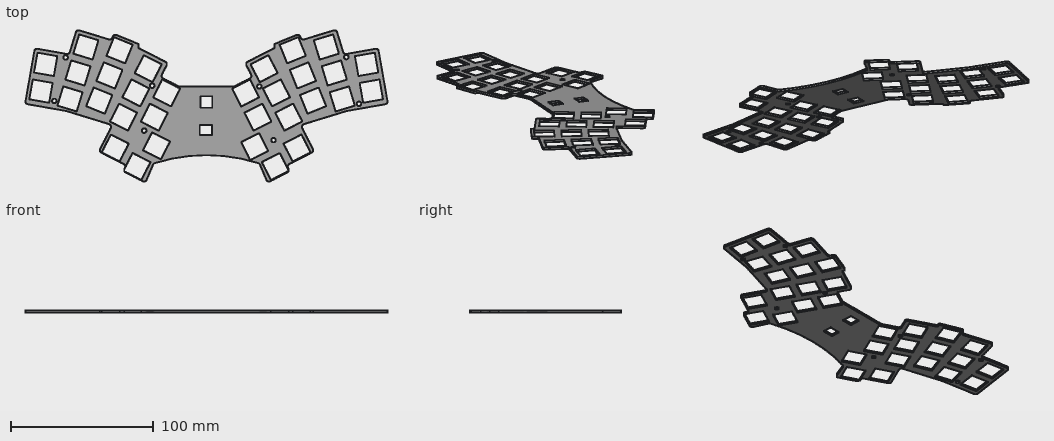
import cadquery as cq
import math

THICKNESS = 1.6
CUTOUT = 14.0
SWITCH_SHIFT = -0.3
PITCH = 19.0
CORNER_RADIUS = 2.0
STEP_RADIUS = 1.0
SCREW_DIAMETER = 3.0

BRIDGE_TOP = 13.5
BRIDGE_BOTTOM = -34.8
BRIDGE_END = (37.0, -40.5)

PINKY = (112.5, 29.0, 10, 2)
RING = (84.2, 41.0, 17, 3)
MIDDLE = (60.6, 38.8, 22, 3)
INDEX = (40.5, 26.0, 27, 3)
INNER = (27.7, 9.0, 27, 2)
THUMB_OUTER = (63.7, -29.7, 27, 1)
THUMB_LOW = (48.5, -42.6, 27, 1)
COLUMNS = [PINKY, RING, MIDDLE, INDEX, INNER, THUMB_OUTER, THUMB_LOW]

INNER_THUMBS = [(-35.0, -28.2, -27), (33.8, -28.7, 27)]

STEP_EDGE = (MIDDLE, "left", 4.0)

RIM_EDGES = [
    (INNER, "top", 0.9),
    (INDEX, "left", 3.3),
    (INDEX, "top", 2.8),
    STEP_EDGE,
    (MIDDLE, "top", 2.0),
    (MIDDLE, "right", 1.3),
    (RING, "top", 2.8),
    (RING, "right", 3.0),
    (PINKY, "top", 2.8),
    (PINKY, "right", 2.8),
    (PINKY, "bottom", 3.8),
    (RING, "bottom", 2.0),
    (THUMB_OUTER, "right", 2.4),
    (THUMB_OUTER, "bottom", 0.5),
    (THUMB_LOW, "right", 0.38),
    (THUMB_LOW, "bottom", 0.5),
    (THUMB_LOW, "left", 3.3),
]
SIDE_TURN = {"right": 0, "top": 90, "left": 180, "bottom": 270}

SCREWS = [
    (-98.7, 33.8), (98.0, 34.0),
    (-38.0, 14.0), (37.0, 13.5),
    (-106.5, 3.3), (106.8, 1.3),
    (-43.6, -17.5), (47.0, -24.0),
]

WINDOWS = [(-0.13, 2.5, 8.0, 7.9), (-0.5, -17.0, 8.5, 6.9)]


def switch_centers(column):
    """Centres of a column's switches, from the top one down."""
    x, y, tilt, count = column
    step_x = PITCH * math.sin(math.radians(tilt))
    step_y = PITCH * math.cos(math.radians(tilt))
    return [(x + i * step_x, y - i * step_y) for i in range(count)]


def rim_line(column, side, rim):
    """Line beside a column, as its unit normal and its distance from the origin."""
    centers = switch_centers(column)
    x, y = centers[-1] if side == "bottom" else centers[0]
    direction = math.radians(column[2] + SIDE_TURN[side])
    nx, ny = math.cos(direction), math.sin(direction)
    return nx, ny, nx * x + ny * y + CUTOUT / 2 + rim


def crossing(first, second):
    """Point where two lines meet."""
    ax, ay, a = first
    bx, by, b = second
    det = ax * by - ay * bx
    return (a * by - b * ay) / det, (ax * b - bx * a) / det


def make_plate():
    bridge_line = (0, 1, BRIDGE_TOP)
    lines = [bridge_line] + [rim_line(*edge) for edge in RIM_EDGES]
    corners = [crossing(a, b) for a, b in zip(lines, lines[1:])]
    corners.append(BRIDGE_END)
    mirrored = [(-x, y) for x, y in corners]
    outline = (
        cq.Workplane("XY")
        .polyline(corners)
        .threePointArc((0, BRIDGE_BOTTOM), mirrored[-1])
    )
    for corner in reversed(mirrored[:-1]):
        outline = outline.lineTo(*corner)
    plate = outline.close().extrude(THICKNESS)

    step = RIM_EDGES.index(STEP_EDGE)
    step_reach = [x for x, y in corners[step:step + 2]]

    def is_step(edge):
        return any(math.isclose(abs(edge.Center().x), x) for x in step_reach)

    upright = plate.edges("|Z")
    other_edges = upright.filter(lambda edge: not is_step(edge)).vals()
    plate = plate.newObject(other_edges).fillet(CORNER_RADIUS)
    return plate.edges("|Z").filter(is_step).fillet(STEP_RADIUS)


def square_cutout(x, y, tilt):
    square = cq.Workplane("XY").rect(CUTOUT, CUTOUT).extrude(THICKNESS)
    return square.rotate((0, 0, 0), (0, 0, 1), tilt).translate((x, y, 0))


def switch_places():
    """(X, Y, tilt) of every switch on the plate."""
    places = list(INNER_THUMBS)
    for column in COLUMNS:
        tilt = column[2]
        for x, y in switch_centers(column):
            places.append((SWITCH_SHIFT + x, y, tilt))
            places.append((SWITCH_SHIFT - x, y, -tilt))
    return places


def make_screw_holes():
    return cq.Workplane("XY").pushPoints(SCREWS).circle(SCREW_DIAMETER / 2).extrude(THICKNESS)


def make_window(x, y, width, height):
    return cq.Workplane("XY").center(x, y).rect(width, height).extrude(THICKNESS)


result = make_plate().cut(make_screw_holes())
for place in switch_places():
    result = result.cut(square_cutout(*place))
for window in WINDOWS:
    result = result.cut(make_window(*window))